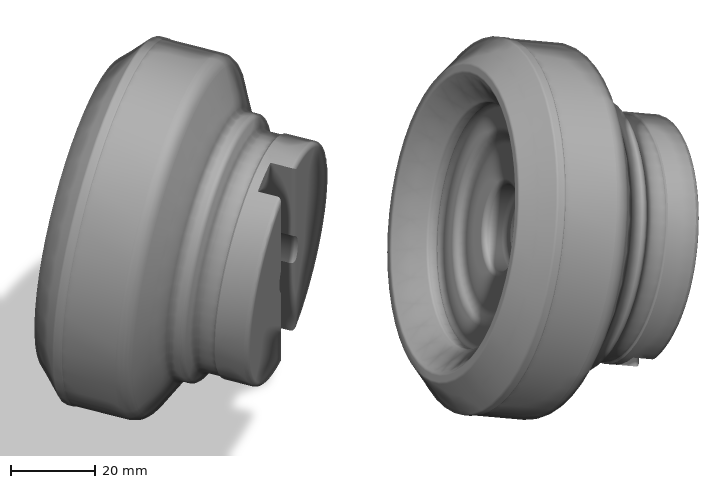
import cadquery as cq
import math

outer_radius = 45.1
total_length = 50.8

ring_length = 9.4
ring_inner_radius = 29.4
rim_outer_radius = 38.0
rim_inner_radius = 35.95
ring_rounding = 0.8
ring_back_rounding = 0.5

skin_thickness = 0.2
rim_thickness = 1.3
outer_flank_thickness = 0.5
inner_flank_thickness = 0.3

cone_angle = math.radians(60)
body_end = 25.0
body_rounding = 4.15
collar_radius = 33.0
collar_end = 35.4
neck_radius = 29.6
step_rounding = 1.5
drive_start = 42.0
drive_radius = 30.0
drive_lead_in = 0.45
drive_end_rounding = 1.2

floor_depth = 10.45
floor_rounding = 1.1
recess_outer_radius = 22.9
recess_depth = 2.1
recess_rounding = 2.0
counterbore_radius = 10.45
counterbore_end = 18.4
counterbore_entry_rounding = 1.2
counterbore_floor_rounding = 1.0
bore_radius = 6.9
bore_chamfer = 0.6

slot_width = 9.5
slot_depth = 6.1


def toward(start, end, distance):
    """Point at a given distance from start on the way to end."""
    length = math.dist(start, end)
    return tuple(s + (e - s) * distance / length for s, e in zip(start, end))


def rounded_outline(corners):
    """Closed outline through (x, radius, rounding) corners, each rounded by a tangent arc."""
    outline = None
    for i, (x, r, rounding) in enumerate(corners):
        corner = (x, r)
        before = corners[i - 1][:2]
        after = corners[(i + 1) % len(corners)][:2]
        to_before = math.atan2(before[1] - r, before[0] - x)
        to_after = math.atan2(after[1] - r, after[0] - x)
        half_angle = abs(math.remainder(to_after - to_before, 2 * math.pi)) / 2
        tangent_length = rounding / math.tan(half_angle)
        arc_start = toward(corner, before, tangent_length)
        arc_end = toward(corner, after, tangent_length)
        outline = cq.Workplane("XY").moveTo(*arc_start) if outline is None else outline.lineTo(*arc_start)
        if rounding > 0:
            chord_middle = tuple((s + e) / 2 for s, e in zip(arc_start, arc_end))
            middle_distance = rounding / math.sin(half_angle) - rounding
            outline = outline.threePointArc(toward(corner, chord_middle, middle_distance), arc_end)
    return outline.close()


def turned(corners):
    """Solid of revolution about the X axis from (x, radius, rounding) corners."""
    return rounded_outline(corners).revolve(360, (0, 0, 0), (1, 0, 0))


def make_hub():
    """Hub with a front ridge for the ring: turned body with a stepped front recess, a bore and a drive slot."""
    body_radius = outer_radius - skin_thickness
    recess_radius = ring_inner_radius + skin_thickness
    ridge_outer_radius = rim_outer_radius + rim_thickness - outer_flank_thickness * math.sqrt(2)
    ridge_inner_radius = rim_inner_radius - rim_thickness + inner_flank_thickness * math.sqrt(2)
    body_cone_end = body_end + (body_radius - collar_radius) / math.tan(cone_angle)
    collar_cone_end = collar_end + (collar_radius - neck_radius) / math.tan(cone_angle)
    recess_floor = floor_depth + recess_depth
    recess_inner_radius = recess_outer_radius - recess_depth
    outside = [
        (rim_thickness, ridge_outer_radius, 0),
        (rim_thickness + body_radius - ridge_outer_radius, body_radius, body_rounding),
        (body_end, body_radius, body_rounding),
        (body_cone_end, collar_radius, step_rounding),
        (collar_end, collar_radius, step_rounding),
        (collar_cone_end, neck_radius, step_rounding),
        (drive_start, neck_radius, 0),
        (drive_start + drive_lead_in, drive_radius, 0),
        (total_length, drive_radius, 0),
    ]
    inside = [
        (total_length, bore_radius, 0),
        (counterbore_end + bore_chamfer, bore_radius, 0),
        (counterbore_end, bore_radius + bore_chamfer, 0),
        (counterbore_end, counterbore_radius, counterbore_floor_rounding),
        (recess_floor, counterbore_radius, counterbore_entry_rounding),
        (recess_floor, recess_inner_radius, recess_rounding),
        (floor_depth, recess_outer_radius, recess_rounding),
        (floor_depth, recess_radius, floor_rounding),
        (rim_thickness + ridge_inner_radius - recess_radius, recess_radius, 0),
        (rim_thickness, ridge_inner_radius, 0),
    ]
    slot = (
        cq.Workplane("XY")
        .box(2 * slot_depth, slot_width, 2 * outer_radius)
        .translate((total_length, 0, 0))
    )
    hub = turned(outside + inside).cut(slot)
    jaw_edges = hub.faces(">X").edges().filter(
        lambda edge: edge.geomType() == "LINE" or edge.radius() > drive_radius / 2
    )
    return jaw_edges.fillet(drive_end_rounding)


def make_ring(hub):
    """Cutting ring with 45 degree flanks and a flat rim, hollowed to sit on the hub ridge."""
    outer_flank = outer_radius - rim_outer_radius
    inner_flank = rim_inner_radius - ring_inner_radius
    blank = turned([
        (0, rim_inner_radius, ring_rounding),
        (0, rim_outer_radius, ring_rounding),
        (outer_flank, outer_radius, ring_rounding),
        (ring_length, outer_radius, ring_back_rounding),
        (ring_length, ring_inner_radius, ring_back_rounding),
        (inner_flank, ring_inner_radius, ring_rounding),
    ])
    return blank.cut(hub)


hub = make_hub()
ring = make_ring(hub)
result = cq.Compound.makeCompound([ring.val(), hub.val()])